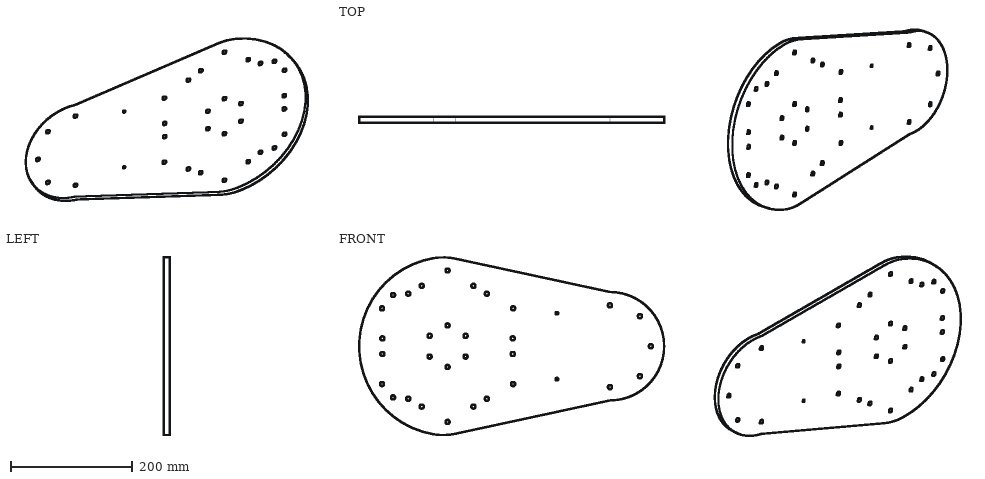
import cadquery as cq
import math

length = 504.0
height = 294.0
thickness = 10.0

large_radius = 147.5
small_radius = 89.5
blend_start_x = -129.0
blend_end_x = -92.5
blend_radius = 95.5

hole_diameter = 6.5
small_hole_diameter = 4.0
large_pattern_x = -106.0
inner_circle_radius = 34.5
pair_circle_radius = 108.5
outer_circle_radius = 125.0
pair_half_angle = 6.8
extra_circle_radius = 123.5
extra_hole_angle = 136.8
flank_hole_x = 74.5
flank_hole_z = 54.5
end_circle_radius = 67.5
end_diagonal_radius = 70.0

left_end = -length / 2
right_end = length / 2
large_center_x = left_end + large_radius
small_center_x = right_end - small_radius
hexagon_angles = [30 + 60 * i for i in range(6)]


def polar(center_x, radius, angle):
    """Point at an angle in degrees on a circle centered on the X axis."""
    turn = math.radians(angle)
    return center_x + radius * math.cos(turn), radius * math.sin(turn)


def mirrored(point):
    return point[0], -point[1]


def make_plate():
    blend_start_z = math.sqrt(large_radius**2 - (blend_start_x - large_center_x) ** 2)
    peak_z = height / 2
    start_drop = peak_z - blend_start_z
    peak_x = blend_start_x + math.sqrt(2 * blend_radius * start_drop - start_drop**2)
    blend_center_z = peak_z - blend_radius
    blend_end_z = blend_center_z + math.sqrt(blend_radius**2 - (blend_end_x - peak_x) ** 2)

    blend_start = (blend_start_x, blend_start_z)
    peak = (peak_x, peak_z)
    blend_end = (blend_end_x, blend_end_z)
    flank_end = (small_center_x, small_radius)
    return (
        cq.Workplane("XZ")
        .moveTo(*mirrored(blend_start))
        .threePointArc((left_end, 0), blend_start)
        .threePointArc(peak, blend_end)
        .lineTo(*flank_end)
        .threePointArc((right_end, 0), mirrored(flank_end))
        .lineTo(*mirrored(blend_end))
        .threePointArc(mirrored(peak), mirrored(blend_start))
        .close()
        .extrude(thickness / 2, both=True)
    )


def drill(plate, points, diameter):
    cutters = (
        cq.Workplane("XZ")
        .pushPoints(points)
        .circle(diameter / 2)
        .extrude(thickness, both=True)
    )
    return plate.cut(cutters)


def large_end_points():
    points = []
    for angle in hexagon_angles:
        points.append(polar(large_pattern_x, inner_circle_radius, angle))
        points.append(polar(large_pattern_x, outer_circle_radius, angle))
        pair_angle = angle + 30
        for offset in (-pair_half_angle, pair_half_angle):
            points.append(polar(large_pattern_x, pair_circle_radius, pair_angle + offset))
    for angle in (extra_hole_angle, -extra_hole_angle):
        points.append(polar(large_pattern_x, extra_circle_radius, angle))
    return points


def small_end_points():
    points = [polar(small_center_x, end_circle_radius, angle) for angle in (-90, 0, 90)]
    points += [polar(small_center_x, end_diagonal_radius, angle) for angle in (-45, 45)]
    return points


flank_points = [(flank_hole_x, -flank_hole_z), (flank_hole_x, flank_hole_z)]

result = make_plate()
result = drill(result, large_end_points() + small_end_points(), hole_diameter)
result = drill(result, flank_points, small_hole_diameter)